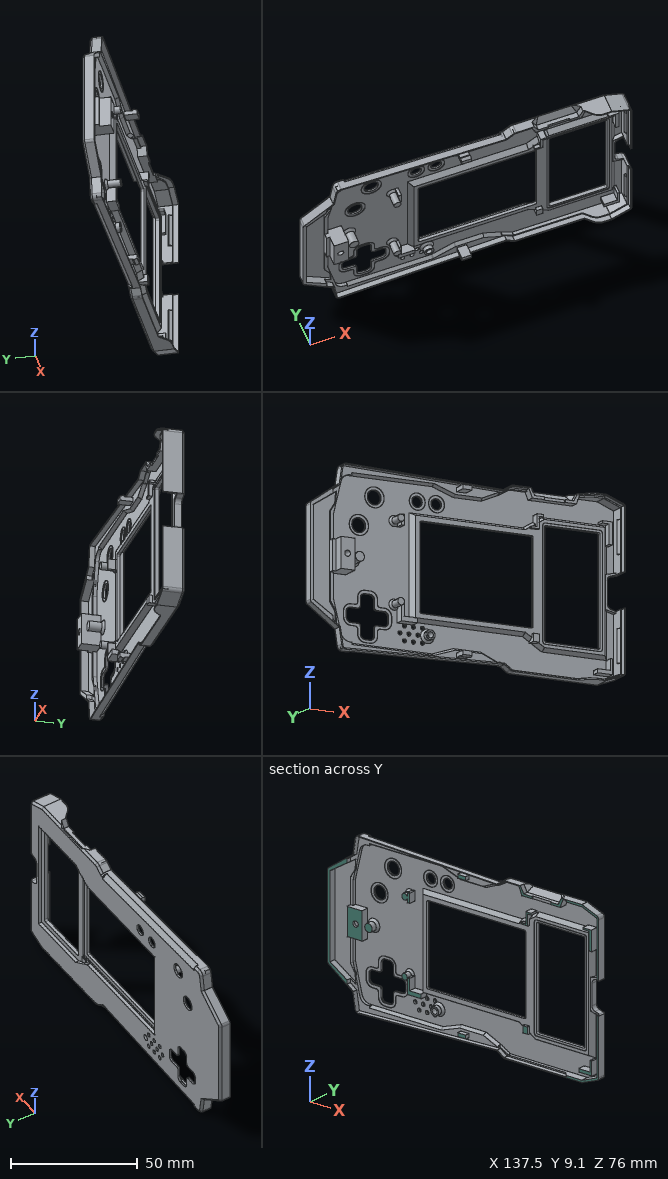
import cadquery as cq
import math


LENGTH = 137.5
HALF_WIDTH = 38.02
FULL_DEPTH = 9.1
RIM_DEPTH = 4.8
FLOOR_DEPTH = 1.03
LEDGE_DEPTH = 2.55
WING_FLOOR_DEPTH = 1.6
FRAME_DEPTH = 3.37
WALL = 1.17
LIP = 0.5
EDGE_BEVEL = 1.0
BEYOND = 6.9

FLOOR_LEFT = 11.4
FLOOR_LEFT_Z = 17.3
FLOOR_CORNER = (15.5, 34.1)
FLOOR_CORNER_RADIUS = 4.1
RIB = 1.4
CLIP_BAY_X = (55.8, 65.3, 77.5, 85.1)
CLIP_BAY_Z = 30.8
LEDGE_SLOPE = 1.0
WING_RIM = 1.45

TAIL_HALF_WIDTH = 20.2
SHOULDER_X = 12.8
SHOULDER_Z = 29.3
CORNER_X = 14.2
WAIST_X = 86.0
WAIST_Z = 35.6
HEAD_X = 89.4
HEAD_CHAMFER_X = 129.0
HEAD_END_Z = 34.8
OUTLINE_ROUNDS = (
    (0, TAIL_HALF_WIDTH, 1.4),
    (CORNER_X, HALF_WIDTH, 2.2),
    (HEAD_X, HALF_WIDTH, 2.8),
    (LENGTH, HEAD_END_Z, 1.6),
)
SIDE_BEVEL = 1.9
SIDE_BEVEL_X = (18.8, 85.0)

SLOPE_START_X = 119.1
SLOPE_X = 121.3
SLOPE_DEPTH = 7.0
SLOPE_END_X = 125.8
SLOPE_ARC_MIDDLE = (123.2, -8.5)

FRAME_LEFT = 47.5
FRAME_RIGHT = 131.3
FRAME_STEP_X = (96.0, 104.5)
FRAME_SMALL_Z = 20.9
FRAME_LARGE_Z = 26.1
FRAME_SLOPE_X = 1.8
FRAME_SLOPE_Z = 1.3
LENS_RECESS_DEPTH = 1.5
SCREEN_RECESS_DEPTH = 2.0
WINDOWS = ((49.4, 99.4, 18.8), (104.8, 129.2, 23.8))
WINDOW_CORNER = 0.7
WINDOW_SEAT = 1.0

BUTTONS = ((30.4, 26.7, 6.0, 8.5), (23.5, 14.6, 6.0, 8.5), (49.4, 27.2, 4.5, 7.0), (57.9, 27.2, 4.5, 7.0))
SEAT_DEPTH = 0.2
PAD_X = 27.4
PAD_Z = -22.4
PAD_REACH = 9.4
PAD_ARM = 6.2
PAD_RIM = 1.3
PAD_TIP_RADIUS = 1.9
PAD_INNER_RADIUS = 1.1
SPEAKER_X = 47.65
SPEAKER_Z = -27.2
SPEAKER_PITCH = 4.0
SPEAKER_ROW = 3.0
SPEAKER_HOLE = 1.6

PINS = ((39.0, 18.0, 3.0, 4.5), (39.0, -16.1, 3.0, 4.5), (20.8, 0, 4.0, 5.9))
PIN_DEPTH = 7.2
COLLAR_DEPTH = 2.0
BLOCK_WIDTH = 13.0
BLOCK_RIGHT = 17.6
BLOCK_RIB_DEPTH = 4.5
BLOCK_HOLE_X = 14.3
BLOCK_HOLE_DEPTH = 5.5
SCREW_HOLE = 2.5
TUBE_X = 53.8
TUBE_DIAMETER = 4.0
TUBE_DEPTH = 3.8
TUBE_COLLAR = 5.9

LOCATOR_DEPTH = 4.8
LOCATORS = (
    (129.4, 133.8, 27.4, 28.3),
    (132.3, 133.8, 19.0, 28.3),
    (127.3, 133.9, -34.0, -32.3),
    (133.0, 133.9, -34.0, -27.5),
    (100.5, 101.5, 21.6, 27.6),
    (100.5, 103.3, 26.7, 27.6),
    (98.0, 101.5, 21.6, 22.4),
    (98.9, 101.5, -24.6, -21.3),
    (40.4, 41.7, -23.4, -16.1),
    (40.4, 47.5, -23.4, -21.3),
    (40.4, 41.7, 15.8, 20.2),
)

CLIP_X = (66.0, 70.1)
CLIP_Z = (32.9, 34.6)
CLIP_DEPTH = 7.8
CLIP_HOOK = 0.5
RIDGE_Z = (15.1, 29.3)
RIDGE_HEIGHT = 0.8

NOTCH_X = 132.7
NOTCH_HALF = 7.4
NOTCH_CORNER = 2.0
NOTCH_COLLAR = 0.8
NOTCH_COLLAR_DEPTH = 2.9
SCOOP_X = (99.5, 116.7)
SCOOP_TOP_X = (98.2, 118.8)
SCOOP_Z = 34.9
SCOOP_SHELF = 2.5
SCOOP_GAP_X = (103.8, 113.0)
SCOOP_GAP_DEPTH = 4.1


def sketch_at(depth):
    """Plane parallel to the outer face; extruding goes deeper into the shell."""
    return cq.Workplane("XZ", origin=(0, -depth, 0))


def box(x0, x1, z0, z1, depth0, depth1):
    plane = sketch_at(depth0).center((x0 + x1) / 2, (z0 + z1) / 2)
    return plane.rect(x1 - x0, z1 - z0).extrude(depth1 - depth0)


def cylinder(x, z, diameter, depth0, depth1):
    return sketch_at(depth0).center(x, z).circle(diameter / 2).extrude(depth1 - depth0)


def cone(x, z, diameter0, diameter1, depth0, depth1):
    base = sketch_at(depth0).center(x, z).circle(diameter0 / 2)
    return base.workplane(offset=depth1 - depth0).circle(diameter1 / 2).loft()


def mirrored(upper):
    """Close an outline that is symmetric about Z = 0 from its upper half, left to right."""
    return upper + [(x, -z) for x, z in reversed(upper)]


def both_sides(solid):
    return solid.union(solid.mirror("XY"))


def shell_outline(depth):
    upper = [
        (0, TAIL_HALF_WIDTH),
        (SHOULDER_X, SHOULDER_Z),
        (CORNER_X, HALF_WIDTH),
        (WAIST_X, WAIST_Z),
        (HEAD_X, HALF_WIDTH),
        (HEAD_CHAMFER_X, HALF_WIDTH),
        (LENGTH, HEAD_END_Z),
    ]
    return sketch_at(depth).polyline(mirrored(upper)).close()


def space_below_rim():
    """Everything deeper than the rim, which drops to full depth at the head end."""
    profile = (
        cq.Workplane("XY", origin=(0, 0, -HALF_WIDTH - BEYOND))
        .moveTo(-BEYOND, -RIM_DEPTH)
        .lineTo(SLOPE_START_X, -RIM_DEPTH)
        .lineTo(SLOPE_X, -SLOPE_DEPTH)
        .threePointArc(SLOPE_ARC_MIDDLE, (SLOPE_END_X, -FULL_DEPTH))
        .lineTo(LENGTH + BEYOND, -FULL_DEPTH)
        .lineTo(LENGTH + BEYOND, -FULL_DEPTH - BEYOND)
        .lineTo(-BEYOND, -FULL_DEPTH - BEYOND)
        .close()
    )
    return profile.extrude(2 * (HALF_WIDTH + BEYOND))


def corner_edges(body, x, z, reach=0.7):
    """Upright edges near (x, z) and near its mirror point (x, -z)."""
    upper = cq.selectors.BoxSelector((x - reach, -27.5, z - reach), (x + reach, 27.5, z + reach))
    lower = cq.selectors.BoxSelector((x - reach, -27.5, -z - reach), (x + reach, 27.5, -z + reach))
    return body.edges("|Y").edges(upper + lower)


def side_bevel():
    """Wedge that widens the outer bevel along the narrowing side."""
    def section(x):
        z = HALF_WIDTH + (WAIST_Z - HALF_WIDTH) * (x - CORNER_X) / (WAIST_X - CORNER_X)
        past = BEYOND - SIDE_BEVEL
        return [(-SIDE_BEVEL - past, z + past), (BEYOND, z + past), (BEYOND, z - SIDE_BEVEL - BEYOND)]

    start_x, end_x = SIDE_BEVEL_X
    start = cq.Workplane("YZ", origin=(start_x, 0, 0)).polyline(section(start_x)).close()
    end = start.workplane(offset=end_x - start_x).polyline(section(end_x)).close()
    return end.loft(ruled=True)


def shell_body():
    body = shell_outline(0).extrude(FULL_DEPTH)
    for x, z, radius in OUTLINE_ROUNDS:
        body = corner_edges(body, x, z).fillet(radius)
    body = body.faces(">Y").chamfer(EDGE_BEVEL)
    body = body.cut(both_sides(side_bevel()))
    return body.cut(space_below_rim())


def floor_outline(depth):
    corner_z = FLOOR_CORNER[1]
    upper = [
        (FLOOR_LEFT, FLOOR_LEFT_Z),
        FLOOR_CORNER,
        (CLIP_BAY_X[0], corner_z),
        (CLIP_BAY_X[1], CLIP_BAY_Z),
        (CLIP_BAY_X[2], CLIP_BAY_Z),
        (CLIP_BAY_X[3], corner_z),
        (HEAD_X + 0.5, HALF_WIDTH - WALL),
        (HEAD_CHAMFER_X, HALF_WIDTH - WALL),
        (LENGTH - WALL, HEAD_END_Z - 0.8),
    ]
    return sketch_at(depth).polyline(mirrored(upper)).close()


def hollow():
    lap = shell_outline(0).offset2D(-LIP, "intersection").extrude(FULL_DEPTH)
    lap = lap.intersect(space_below_rim().translate((0, RIM_DEPTH - LEDGE_DEPTH, 0)))
    lap = lap.intersect(box(FLOOR_LEFT - RIB, LENGTH, -HALF_WIDTH, HALF_WIDTH, 0, FULL_DEPTH))
    floor = floor_outline(FLOOR_DEPTH).extrude(FULL_DEPTH)
    floor = corner_edges(floor, *FLOOR_CORNER).fillet(FLOOR_CORNER_RADIUS)
    ledge_height = LEDGE_DEPTH - FLOOR_DEPTH
    ledge_taper = math.degrees(math.atan(LEDGE_SLOPE / ledge_height))
    sloped_sides = floor_outline(FLOOR_DEPTH).extrude(ledge_height, taper=-ledge_taper)
    sloped_sides = sloped_sides.intersect(
        box(FLOOR_CORNER[0] + FLOOR_CORNER_RADIUS, CLIP_BAY_X[3], -HALF_WIDTH, HALF_WIDTH, 0, RIM_DEPTH)
    )
    wing_upper = [
        (WING_RIM, TAIL_HALF_WIDTH - 0.8),
        (FLOOR_LEFT + RIB, 26.7),
        (FLOOR_LEFT + 1.0, 22.0),
        (FLOOR_LEFT - RIB, FLOOR_LEFT_Z + 1.0),
    ]
    wing = sketch_at(WING_FLOOR_DEPTH).polyline(mirrored(wing_upper)).close().extrude(FULL_DEPTH)
    return lap.union(floor).union(sloped_sides).union(wing)


def frame_outline(plane, slope_x, slope_z):
    upper = [
        (FRAME_LEFT - slope_x, FRAME_SMALL_Z + slope_z),
        (FRAME_STEP_X[0], FRAME_SMALL_Z + slope_z),
        (FRAME_STEP_X[1], FRAME_LARGE_Z + slope_z),
        (FRAME_RIGHT + slope_x, FRAME_LARGE_Z + slope_z),
    ]
    return plane.polyline(mirrored(upper)).close()


def add_frame(body):
    base = frame_outline(sketch_at(FLOOR_DEPTH), FRAME_SLOPE_X, FRAME_SLOPE_Z)
    top = frame_outline(base.workplane(offset=FRAME_DEPTH - FLOOR_DEPTH), 0, 0)
    body = body.union(top.loft(ruled=True))
    body = body.cut(frame_outline(sketch_at(0), 0, 0).extrude(LENS_RECESS_DEPTH))
    x0, x1, half = WINDOWS[0]
    margin = x0 - FRAME_LEFT
    body = body.cut(box(x0 - margin, x1 + margin, -half - margin, half + margin, 0, SCREEN_RECESS_DEPTH))
    for x0, x1, half in WINDOWS:
        body = body.cut(box(x0, x1, -half, half, 0, FULL_DEPTH).edges("|Y").fillet(WINDOW_CORNER))
    seat = box(
        x0 - WINDOW_SEAT, x1 + WINDOW_SEAT, -half - WINDOW_SEAT, half + WINDOW_SEAT,
        FRAME_DEPTH - SEAT_DEPTH, FRAME_DEPTH,
    )
    return body.cut(seat.edges("|Y").fillet(WINDOW_CORNER + WINDOW_SEAT / 2))


def pad_cross(depth, grow, height):
    reach = 2 * (PAD_REACH + grow)
    arm = PAD_ARM + 2 * grow
    plane = sketch_at(depth).center(PAD_X, PAD_Z)
    cross = plane.rect(reach, arm).extrude(height).union(plane.rect(arm, reach).extrude(height))
    inner = cq.selectors.BoxSelector(
        (PAD_X - arm, -FULL_DEPTH, PAD_Z - arm), (PAD_X + arm, FULL_DEPTH, PAD_Z + arm)
    )
    tips = cross.edges(cq.selectors.StringSyntaxSelector("|Y") - inner)
    cross = tips.fillet(PAD_TIP_RADIUS + grow)
    return cross.edges("|Y").edges(inner).fillet(PAD_INNER_RADIUS)


def cut_controls(body):
    seat_top = FLOOR_DEPTH - SEAT_DEPTH
    for x, z, hole, seat in BUTTONS:
        body = body.cut(cylinder(x, z, hole, 0, FLOOR_DEPTH))
        body = body.cut(cylinder(x, z, seat, seat_top, FLOOR_DEPTH))
    body = body.cut(pad_cross(0, 0, FLOOR_DEPTH))
    body = body.cut(pad_cross(seat_top, PAD_RIM, SEAT_DEPTH))
    for row, count in ((1, 3), (0, 4), (-1, 3)):
        for i in range(count):
            x = SPEAKER_X + (i - (count - 1) / 2) * SPEAKER_PITCH
            body = body.cut(cylinder(x, SPEAKER_Z + row * SPEAKER_ROW, SPEAKER_HOLE, 0, FLOOR_DEPTH))
    return body


def add_posts(body):
    for x, z, pin, collar in PINS:
        body = body.union(cone(x, z, collar, pin, FLOOR_DEPTH, COLLAR_DEPTH))
        body = body.union(cylinder(x, z, pin, FLOOR_DEPTH, PIN_DEPTH))
    half = BLOCK_WIDTH / 2
    body = body.union(box(FLOOR_LEFT - RIB, FLOOR_LEFT, -half, half, FLOOR_DEPTH, BLOCK_RIB_DEPTH))
    body = body.union(box(FLOOR_LEFT, BLOCK_RIGHT, -half, half, FLOOR_DEPTH, FULL_DEPTH))
    body = body.cut(cylinder(BLOCK_HOLE_X, 0, SCREW_HOLE, FULL_DEPTH - BLOCK_HOLE_DEPTH, FULL_DEPTH))
    body = body.union(cone(TUBE_X, SPEAKER_Z, TUBE_COLLAR, TUBE_DIAMETER, FLOOR_DEPTH, COLLAR_DEPTH))
    body = body.union(cylinder(TUBE_X, SPEAKER_Z, TUBE_DIAMETER, FLOOR_DEPTH, TUBE_DEPTH))
    return body.cut(cylinder(TUBE_X, SPEAKER_Z, SCREW_HOLE, 0, TUBE_DEPTH))


def add_locators(body):
    for x0, x1, z0, z1 in LOCATORS:
        body = body.union(box(x0, x1, z0, z1, FLOOR_DEPTH, LOCATOR_DEPTH))
    return body


def clip():
    profile = [
        (CLIP_Z[0], LEDGE_DEPTH - 0.4),
        (CLIP_Z[1], LEDGE_DEPTH - 0.4),
        (CLIP_Z[1], 5.8),
        (CLIP_Z[1] + CLIP_HOOK, 6.5),
        (CLIP_Z[1], CLIP_DEPTH),
        (CLIP_Z[0], CLIP_DEPTH),
    ]
    points = [(-depth, z) for z, depth in profile]
    return cq.Workplane("YZ", origin=(CLIP_X[0], 0, 0)).polyline(points).close().extrude(CLIP_X[1] - CLIP_X[0])


def snap_ridge():
    wall_x = LENGTH - WALL
    points = [(wall_x, -5.0), (wall_x - RIDGE_HEIGHT, -5.5), (wall_x, -6.9)]
    profile = cq.Workplane("XY", origin=(0, 0, RIDGE_Z[0])).polyline(points).close()
    return profile.extrude(RIDGE_Z[1] - RIDGE_Z[0])


def notch_outline(depth, grow):
    upper = [
        (NOTCH_X - grow, 6.3 + grow),
        (LENGTH - WALL, NOTCH_HALF + grow),
        (LENGTH + BEYOND, NOTCH_HALF + grow),
    ]
    return sketch_at(depth).polyline(mirrored(upper)).close()


def cut_notch(body):
    collar = notch_outline(FLOOR_DEPTH, NOTCH_COLLAR).extrude(NOTCH_COLLAR_DEPTH - FLOOR_DEPTH)
    collar = collar.intersect(box(0, LENGTH - WALL, -HALF_WIDTH, HALF_WIDTH, 0, FULL_DEPTH))
    opening = notch_outline(0, 0).extrude(FULL_DEPTH)
    opening = opening.edges("|Y and <X").fillet(NOTCH_CORNER)
    return body.union(collar).cut(opening)


def scoop_outline(depth, grow):
    drop = HALF_WIDTH - SCOOP_Z
    flare = (SCOOP_TOP_X[1] - SCOOP_TOP_X[0] - SCOOP_X[1] + SCOOP_X[0]) / 2 / drop
    top = HALF_WIDTH + BEYOND * (1 if grow == 0 else 0)
    spread = flare * (top - SCOOP_Z)
    points = [
        (SCOOP_X[0] - grow, SCOOP_Z - grow),
        (SCOOP_X[1] + grow, SCOOP_Z - grow),
        (SCOOP_X[1] + grow + spread, top),
        (SCOOP_X[0] - grow - spread, top),
    ]
    return sketch_at(depth).polyline(points).close()


def add_scoop(body):
    body = body.union(scoop_outline(FLOOR_DEPTH, WALL).extrude(RIM_DEPTH - FLOOR_DEPTH))
    body = body.cut(scoop_outline(SCOOP_SHELF, 0).extrude(RIM_DEPTH))
    taper = math.degrees(math.atan((HALF_WIDTH - SCOOP_Z) / SCOOP_SHELF))
    sloped = scoop_outline(SCOOP_SHELF, 0).extrude(-SCOOP_SHELF, taper=taper)
    body = body.cut(sloped)
    return body.cut(box(*SCOOP_GAP_X, SCOOP_Z - WALL, HALF_WIDTH, SCOOP_GAP_DEPTH, RIM_DEPTH))


shell = shell_body().cut(hollow())
shell = shell.union(both_sides(clip())).union(both_sides(snap_ridge()))
shell = add_scoop(shell)
shell = add_frame(shell)
shell = add_locators(shell)
shell = cut_controls(shell)
shell = add_posts(shell)
result = cut_notch(shell)